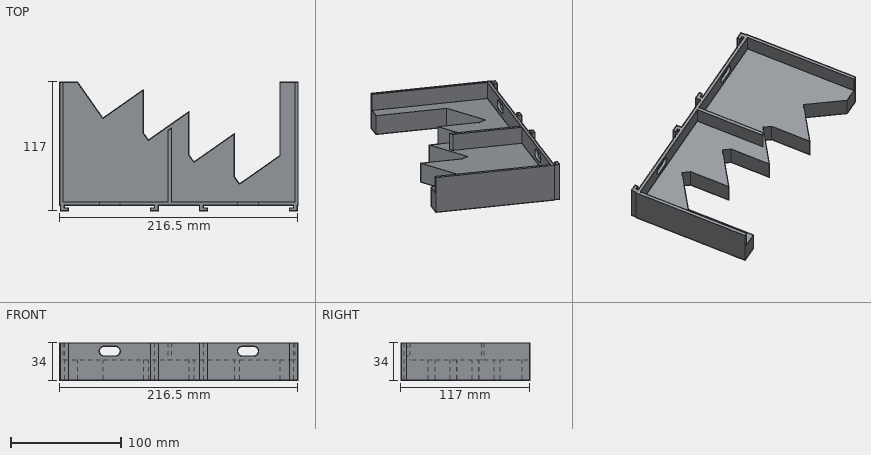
import cadquery as cq
import math

length = 216.5
depth = 117.0
height = 34.0
wall = 3.0

hook_projection = 5.0
hook_width = 7.4
hook_neck = 3.7
hook_lip = 2.8
end_hook_inset = 0.6
inner_hook_offset = 18.6

floor_height = 18.5
notch_count = 4
notch_pitch = 41.4
notch_drop = 20.0
first_notch_x = 39.2
first_notch_y = 84.2
notch_run = 36.8
notch_slope = math.radians(35)

rib_x = 98.5
rib_notch = 1

slot_length = 18.8
slot_height = 8.7
slot_offset = 62.8
slot_z = 26.5

middle_x = length / 2
front_y = hook_projection


def notch_bottom(index):
    return first_notch_x + index * notch_pitch, first_notch_y - index * notch_drop


def floor_outline():
    """Back edge from left to right, closed along the front."""
    start_x = first_notch_x - (depth - first_notch_y) * math.tan(notch_slope)
    points = [(0, front_y), (0, depth), (start_x, depth)]
    for index in range(notch_count):
        x, y = notch_bottom(index)
        if index > 0:
            riser_x = points[-1][0]
            points.append((riser_x, y + (x - riser_x) / math.tan(notch_slope)))
        points.append((x, y))
        points.append((x + notch_run, y + notch_run * math.tan(notch_slope)))
    points.append((points[-1][0], depth))
    return points + [(length, depth), (length, front_y)]


def block(x, y, size_x, size_y):
    """Full-height block with its lower left corner at x, y."""
    return cq.Workplane("XY").box(size_x, size_y, height, centered=False).translate((x, y, 0))


def divider_rib():
    """Rib whose end stays one wall thickness away from the notch flank."""
    x, y = notch_bottom(rib_notch)
    gap = wall / math.cos(notch_slope)

    def end_y(at_x):
        return y + (at_x - x) * math.tan(notch_slope) - gap

    right_x = rib_x + wall
    corners = [(rib_x, front_y), (right_x, front_y), (right_x, end_y(right_x)), (rib_x, end_y(rib_x))]
    return cq.Workplane("XY").polyline(corners).close().extrude(height)


def hook(neck_side_x, direction):
    """L-shaped strip; the lip points along X in the given direction."""
    profile = [
        (0, 0),
        (hook_width, 0),
        (hook_width, hook_lip),
        (hook_neck, hook_lip),
        (hook_neck, front_y),
        (0, front_y),
    ]
    corners = [(neck_side_x + direction * x, y) for x, y in profile]
    return cq.Workplane("XY").polyline(corners).close().extrude(height)


result = cq.Workplane("XY").polyline(floor_outline()).close().extrude(floor_height)
result = result.union(block(0, front_y, length, wall))
for wall_x in (0, length - wall):
    result = result.union(block(wall_x, front_y, wall, depth - front_y))
result = result.union(divider_rib())

for neck_side_x, direction in (
    (end_hook_inset, 1),
    (middle_x - inner_hook_offset, -1),
    (middle_x + inner_hook_offset, 1),
    (length - end_hook_inset, -1),
):
    result = result.union(hook(neck_side_x, direction))

slots = (
    cq.Workplane("XZ", origin=(middle_x, front_y, slot_z))
    .pushPoints([(-slot_offset, 0), (slot_offset, 0)])
    .slot2D(slot_length, slot_height)
    .extrude(-wall)
)
result = result.cut(slots)